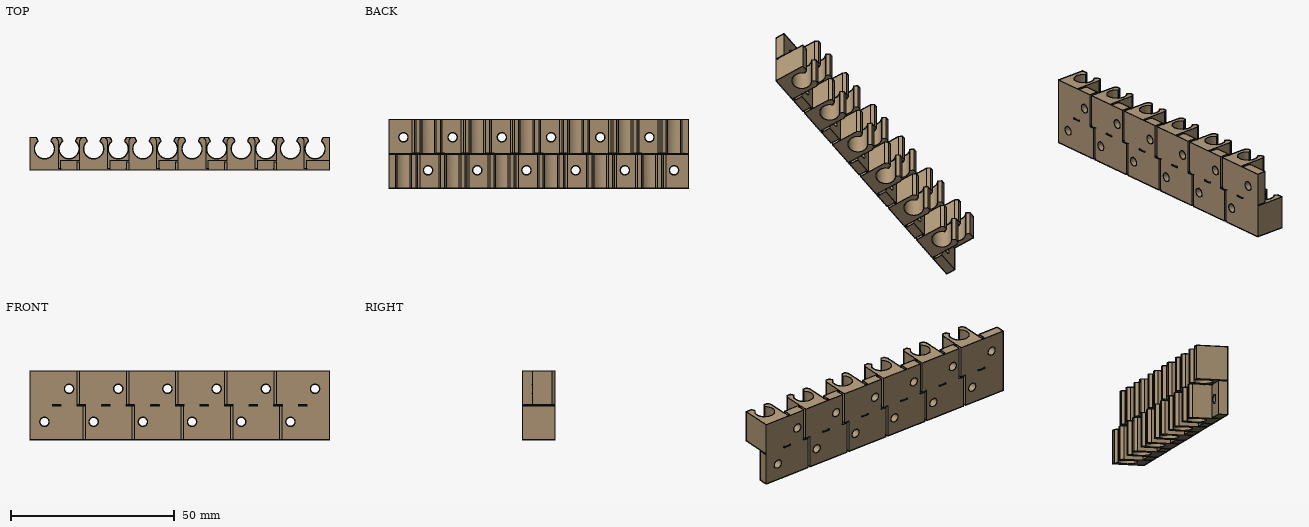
import cadquery as cq


length = 91.5
depth = 10.0
height = 21.0
half_height = height / 2
module_count = 6
pitch = 15.0

plate_thickness = 3.0
web = 0.5
gap = 0.7
slit_height = 0.3
row_offset = pitch / 2

upper_clip_center = 4.5
lower_clip_center = upper_clip_center + row_offset
upper_clip_right = 8.7
upper_plate_end = 14.5
lower_plate_end = upper_plate_end - row_offset
lower_clip_right = upper_clip_right + row_offset

bore_radius = 3.0
bore_y = 6.5
mouth_width = 3.8

relief_width = 0.55
relief_height = 1.0
relief_y = depth - relief_height

hole_diameter = 2.7
hole_row_spacing = 10.1


def box(x_start, x_end, y_start, y_end, z_start, z_end):
    size = (x_end - x_start, y_end - y_start, z_end - z_start)
    return cq.Workplane("XY").box(*size, centered=False).translate((x_start, y_start, z_start))


def row_prism(outline, z_start):
    """Extrude a closed XY outline over the height of one row."""
    return outline.extrude(half_height).translate((0, 0, z_start))


def clip_opening(center_x, z_start):
    """Round bore with a narrower mouth that flares at the back."""
    bore = row_prism(cq.Workplane("XY").center(center_x, bore_y).circle(bore_radius), z_start)
    mouth_half = mouth_width / 2
    flare_half = mouth_half + relief_width
    mouth_outline = (
        cq.Workplane("XY")
        .polyline(
            [
                (center_x - mouth_half, bore_y),
                (center_x + mouth_half, bore_y),
                (center_x + mouth_half, relief_y),
                (center_x + flare_half, depth),
                (center_x - flare_half, depth),
                (center_x - mouth_half, relief_y),
            ]
        )
        .close()
    )
    return bore.union(row_prism(mouth_outline, z_start))


def space_behind_plate(x_start, x_end, relief_at_start, relief_at_end, z_start):
    """Space between two clips, widened at the back where a clip tip is relieved."""
    back_start = x_start - relief_width if relief_at_start else x_start
    back_end = x_end + relief_width if relief_at_end else x_end
    outline = (
        cq.Workplane("XY")
        .polyline(
            [
                (x_start, plate_thickness),
                (x_end, plate_thickness),
                (x_end, relief_y),
                (back_end, depth),
                (back_start, depth),
                (x_start, relief_y),
            ]
        )
        .close()
    )
    return row_prism(outline, z_start)


def rear_slot(x_start, z_start):
    """Gap open to the back, leaving a web at the front face."""
    return box(x_start, x_start + gap, web, plate_thickness, z_start, z_start + half_height)


def front_groove(x_start, z_start):
    """Gap open to the front, leaving a web at the back of the plate."""
    return box(x_start, x_start + gap, 0, plate_thickness - web, z_start, z_start + half_height)


def row_slit(x_start, x_end, y_start):
    """Thin horizontal slit between the upper and lower rows."""
    z_start = half_height - slit_height / 2
    return box(x_start, x_end, y_start, depth, z_start, z_start + slit_height)


def screw_hole(x, z):
    outline = cq.Workplane("XZ").center(x, z).circle(hole_diameter / 2)
    return outline.extrude(-plate_thickness)


result = box(0, length, 0, depth, 0, height)
result = result.cut(row_slit(0, length, web))

for index in range(module_count):
    shift = index * pitch
    is_first = index == 0
    is_last = index == module_count - 1

    clip_right = shift + upper_clip_right
    plate_end = shift + upper_plate_end
    space_end = length if is_last else plate_end + gap
    result = result.cut(clip_opening(shift + upper_clip_center, half_height))
    result = result.cut(space_behind_plate(clip_right, space_end, True, not is_last, half_height))
    result = result.cut(rear_slot(clip_right, half_height))
    result = result.cut(screw_hole(shift + lower_clip_center, half_height + hole_row_spacing / 2))

    lower_slot = shift + lower_plate_end
    space_start = 0 if is_first else shift - pitch + lower_clip_right
    result = result.cut(clip_opening(shift + lower_clip_center, 0))
    result = result.cut(space_behind_plate(space_start, lower_slot + gap, not is_first, True, 0))
    result = result.cut(rear_slot(lower_slot, 0))
    result = result.cut(screw_hole(shift + upper_clip_center, half_height - hole_row_spacing / 2))

    result = result.cut(row_slit(lower_slot, clip_right + gap, 0))

    if not is_last:
        lower_groove = shift + lower_clip_right
        result = result.cut(front_groove(plate_end, half_height))
        result = result.cut(front_groove(lower_groove, 0))
        result = result.cut(row_slit(plate_end, lower_groove + gap, 0))